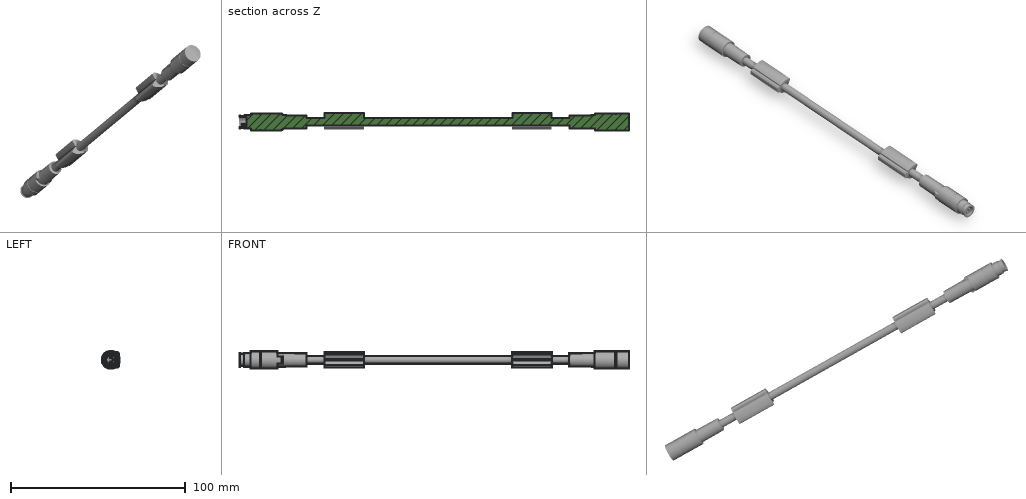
import cadquery as cq
import math


total_length = 222.7
plug_step_x = 2.7
plug_ring_x = 6.4
plug_seam_x = 11.8
plug_grip_end_x = 21.6
plug_wing_end_x = 23.9
plug_body_end_x = 25.0
plug_boot_end_x = 38.4
socket_boot_x = 188.5
socket_grip_x = 203.0
socket_seam_x = 214.8
seam_width = 0.6
sleeve_length = 22.8
sleeve_starts = (48.5, 155.8)

overlap = 1.0

shell_radius = 5.0
seam_radius = 4.8
body_radius = 4.0
boot_end_radius = 3.85
snap_groove_radius = 3.5
snap_lip_width = 0.4
cable_radius = 2.3
wing_half_height = 2.0

recess_radius = 2.8
recess_depth = 4.0
pin_radius = 0.5
pin_length = 3.0
pin_positions = ((0.0, 1.4), (0.0, -1.4), (-1.5, 0.0))

slit_half_height = 0.4
lip_front_y = -4.55
lip_inner_z = 3.0
lip_middle = (-4.33, 3.85)
lip_back = (-3.7, 4.3)
funnel_angle = 31.5
front_flank_middle = (-2.3, 4.45)
flank_ridge = (-0.9, 4.25)
back_flank_middle = (1.2, 3.65)
rail_edge_z = 2.6
rail_y = 3.0
rail_half_height = 1.7
cap_y = 3.7
cap_half_height = 2.0
cap_round_y = 4.4
back_y = 5.16
back_half_height = 1.2


def turned(points):
    """Solid of revolution about X from (x, radius) points closed along the axis."""
    closed = [(points[0][0], 0), *points, (points[-1][0], 0)]
    return cq.Workplane("XY").polyline(closed).close().revolve(360, (0, 0, 0), (1, 0, 0))


def rod(x_start, x_end, radius, y=0.0, z=0.0):
    """Cylinder parallel to X."""
    return (
        cq.Workplane("YZ", origin=(x_start, 0, 0)).center(y, z).circle(radius).extrude(x_end - x_start)
    )


def shell_seam(x_start):
    """Outline points of the narrow groove between a ring and its grip."""
    x_end = x_start + seam_width
    return [
        (x_start, shell_radius),
        (x_start, seam_radius),
        (x_end, seam_radius),
        (x_end, shell_radius),
    ]


def plug_wings():
    """Grip extensions on both sides, tapering down to the body."""
    taper = turned([
        (plug_grip_end_x - overlap, shell_radius),
        (plug_wing_end_x, shell_radius),
        (plug_body_end_x, body_radius),
    ])
    band = cq.Workplane("XY").box(2 * plug_body_end_x, 2 * shell_radius, 2 * wing_half_height)
    return taper.intersect(band)


def plug():
    outline = [
        (0, body_radius),
        (snap_lip_width, body_radius),
        (snap_lip_width, snap_groove_radius),
        (plug_step_x, snap_groove_radius),
        (plug_step_x, body_radius),
        (plug_ring_x, body_radius),
        (plug_ring_x, shell_radius),
        *shell_seam(plug_seam_x),
        (plug_grip_end_x, shell_radius),
        (plug_grip_end_x, body_radius),
        (plug_body_end_x, body_radius),
        (plug_boot_end_x, boot_end_radius),
    ]
    solid = turned(outline).union(plug_wings()).cut(rod(0, recess_depth, recess_radius))
    for y, z in pin_positions:
        solid = solid.union(rod(recess_depth - pin_length, recess_depth + overlap, pin_radius, y, z))
    return solid


def socket():
    return turned([
        (socket_boot_x, boot_end_radius),
        (socket_grip_x, body_radius),
        (socket_grip_x, shell_radius),
        *shell_seam(socket_seam_x),
        (total_length, shell_radius),
    ])


def half_sleeve(x_start):
    """Upper half of a sleeve, solid around the cable and split by the slit at -Y."""
    funnel_depth = (lip_inner_z - slit_half_height) * math.tan(math.radians(funnel_angle))
    return (
        cq.Workplane("YZ", origin=(x_start, 0, 0))
        .moveTo(0, 0)
        .lineTo(0, slit_half_height)
        .lineTo(lip_front_y + funnel_depth, slit_half_height)
        .lineTo(lip_front_y, lip_inner_z)
        .threePointArc(lip_middle, lip_back)
        .threePointArc(front_flank_middle, flank_ridge)
        .threePointArc(back_flank_middle, (rail_y, rail_edge_z))
        .lineTo(rail_y, rail_half_height)
        .lineTo(cap_y, rail_half_height)
        .lineTo(cap_y, cap_half_height)
        .lineTo(cap_round_y, cap_half_height)
        .lineTo(back_y, back_half_height)
        .lineTo(back_y, 0)
        .close()
        .extrude(sleeve_length)
    )


def marker_sleeve(x_start):
    upper = half_sleeve(x_start)
    return upper.union(upper.mirror("XY"))


cable = rod(plug_body_end_x, socket_grip_x, cable_radius)
result = cable.union(plug()).union(socket())
for sleeve_start in sleeve_starts:
    result = result.union(marker_sleeve(sleeve_start))